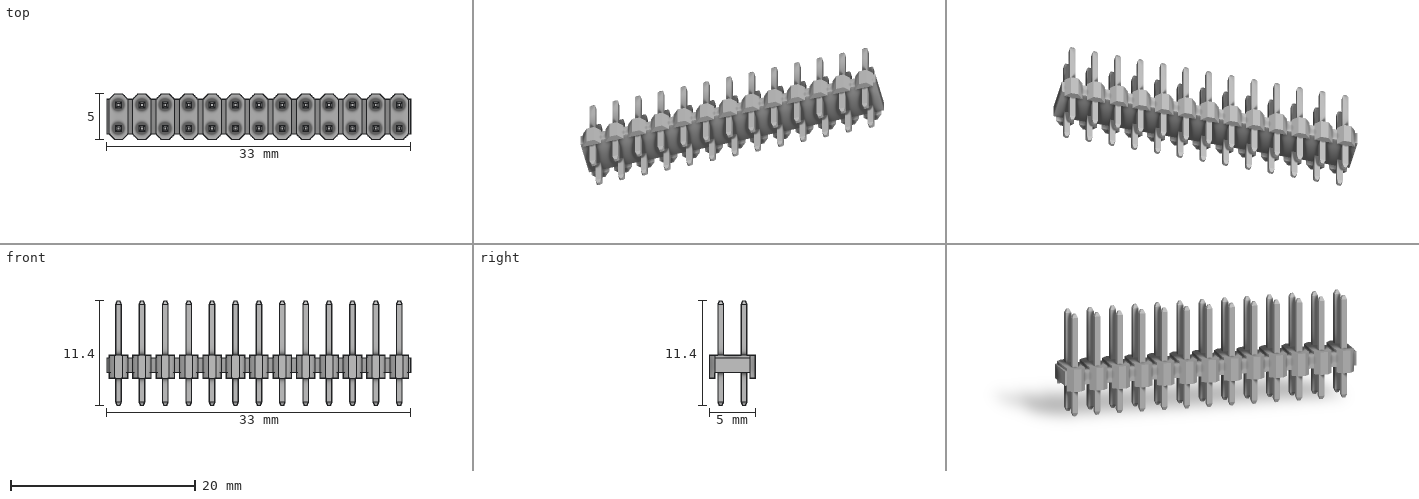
import cadquery as cq


header_length = 33.02
block_count = 13
pitch = header_length / block_count
row_spacing = pitch

block_width = 2.0
block_depth = 5.0
block_height = 2.5
block_chamfer = 0.6
bar_depth = block_depth - 2 * block_chamfer
bar_bottom = 0.63
bar_top = 2.2

pin_side = 0.63
pin_tip_side = 0.3
pin_tip_length = 0.4
pin_length = 11.4
pin_bottom = -2.97
pin_top = pin_bottom + pin_length

first_block_x = -(block_count - 1) / 2 * pitch
block_centres = [(first_block_x + i * pitch, 0) for i in range(block_count)]
pin_centres = [(x, side * row_spacing / 2) for x, _ in block_centres for side in (-1, 1)]


def make_blocks():
    """Octagonal blocks, one per pin pair."""
    return (
        cq.Workplane("XY")
        .pushPoints(block_centres)
        .rect(block_width, block_depth)
        .extrude(block_height)
        .edges("|Z")
        .chamfer(block_chamfer)
    )


def make_bar():
    """Bar that joins all blocks along X."""
    return (
        cq.Workplane("XY", origin=(0, 0, bar_bottom))
        .rect(header_length, bar_depth)
        .extrude(bar_top - bar_bottom)
    )


def make_channel():
    """Channel under the bar that leaves a foot at both ends of each block."""
    return cq.Workplane("XY").rect(header_length, bar_depth).extrude(bar_bottom)


def make_tip(base_z, end_z):
    """Tapered pin tip, from the full section at base_z to the small end at end_z."""
    return (
        cq.Workplane("XY", origin=(0, 0, base_z))
        .rect(pin_side, pin_side)
        .workplane(offset=end_z - base_z)
        .rect(pin_tip_side, pin_tip_side)
        .loft(ruled=True)
    )


def make_pin():
    """Square pin on the Z axis with a tapered tip at both ends."""
    shaft_bottom = pin_bottom + pin_tip_length
    shaft_top = pin_top - pin_tip_length
    shaft = (
        cq.Workplane("XY", origin=(0, 0, shaft_bottom))
        .rect(pin_side, pin_side)
        .extrude(shaft_top - shaft_bottom)
    )
    lower_tip = make_tip(shaft_bottom, pin_bottom)
    upper_tip = make_tip(shaft_top, pin_top)
    return shaft.union(lower_tip).union(upper_tip)


def make_pins():
    """One copy of the pin at every pin centre."""
    pin = make_pin().val()
    return cq.Workplane("XY").pushPoints(pin_centres).eachpoint(lambda place: pin.moved(place))


housing = make_blocks().cut(make_channel()).union(make_bar())
result = housing.union(make_pins())